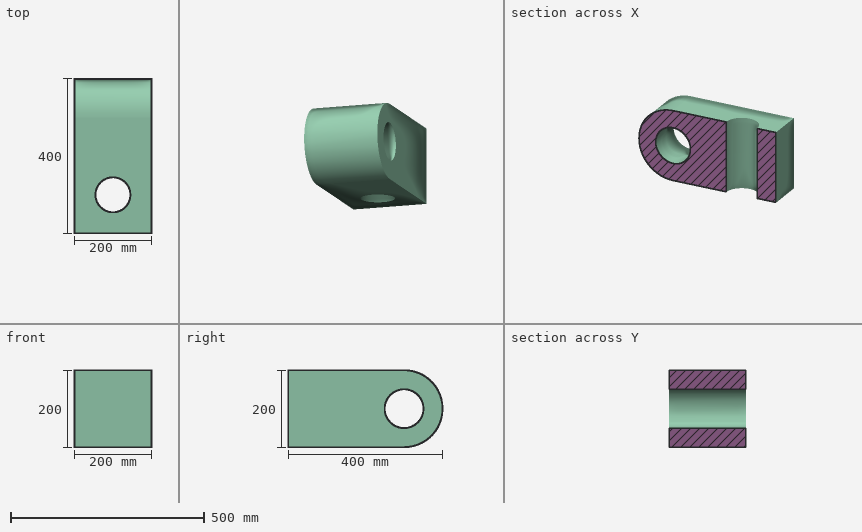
import cadquery as cq

width = 200.0
height = 200.0
block_length = 300.0
cross_hole_diameter = 100.0
vertical_hole_diameter = 90.0
vertical_hole_offset = 100.0

end_radius = height / 2
total_length = block_length + end_radius


def make_body():
    """Block with a flat end at Y = 0 and a half-round end at +Y."""
    return (
        cq.Workplane("YZ")
        .moveTo(0, -end_radius)
        .lineTo(block_length, -end_radius)
        .threePointArc((total_length, 0), (block_length, end_radius))
        .lineTo(0, end_radius)
        .close()
        .extrude(width / 2, both=True)
    )


def make_cross_hole():
    """Through hole along X at the centre of the rounded end."""
    return (
        cq.Workplane("YZ")
        .center(block_length, 0)
        .circle(cross_hole_diameter / 2)
        .extrude(width / 2, both=True)
    )


def make_vertical_hole():
    """Through hole along Z near the flat end."""
    return (
        cq.Workplane("XY")
        .center(0, vertical_hole_offset)
        .circle(vertical_hole_diameter / 2)
        .extrude(height / 2, both=True)
    )


result = make_body().cut(make_cross_hole()).cut(make_vertical_hole())